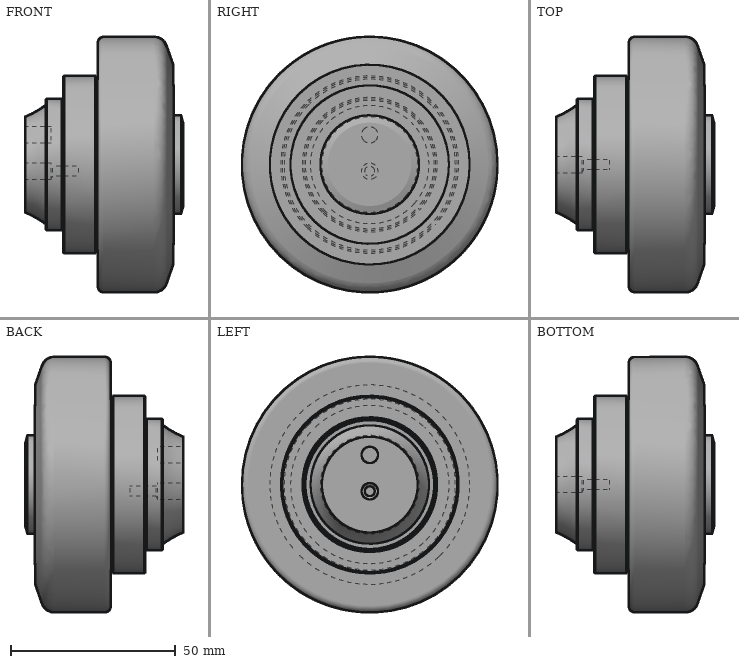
import cadquery as cq
import math

shoulder_x = 6.1
flange_x = 11.4
flange_end_x = 21.6
tyre_x = 22.0
tyre_back_x = 45.0
overall_length = 48.0

nose_tip_diameter = 29.05
nose_base_diameter = 36.0
collar_diameter = 40.0
recess_diameter = 40.95
flange_diameter = 54.0
neck_diameter = 52.0
tyre_diameter = 77.7
tyre_back_diameter = 60.7
back_disc_diameter = 48.1
boss_diameter = 30.0

nose_hollow = 0.2
edge_chamfer = 0.5
recess_depth = 0.4
tyre_front_fillet = 1.95
tyre_back_fillet = 4.05
tyre_bevel_angle = 70.8
back_disc_height = 0.15
boss_chamfer_length = 0.7
boss_chamfer_height = 2.3

hole_diameter = 5.0
pin_hole_z = 9.0
pin_hole_depth = 7.8
oil_hole_z = -2.0
oil_hole_diameter = 3.0
oil_mouth_depth = 7.8
oil_seat_half_angle = 59.0
oil_bore_length = 7.8


def cylinder(diameter, start_x, end_x):
    """Solid cylinder on the X axis."""
    return cq.Workplane("YZ", origin=(start_x, 0, 0)).circle(diameter / 2).extrude(end_x - start_x)


def make_nose():
    """Flared nose with a slightly hollow flank."""
    tip_radius = nose_tip_diameter / 2
    base_radius = nose_base_diameter / 2
    middle = (shoulder_x / 2, (tip_radius + base_radius) / 2 - nose_hollow)
    return (
        cq.Workplane("XY")
        .lineTo(0, tip_radius)
        .threePointArc(middle, (shoulder_x, base_radius))
        .lineTo(shoulder_x, 0)
        .close()
        .revolve(360, (0, 0, 0), (1, 0, 0))
    )


def make_tyre():
    """Tyre with a rounded front edge and a rounded, bevelled back edge."""
    radius = tyre_diameter / 2
    back_radius = tyre_back_diameter / 2
    bevel_length = (radius - back_radius) / math.tan(math.radians(tyre_bevel_angle))
    blank = (
        cq.Workplane("XY")
        .moveTo(tyre_x, 0)
        .lineTo(tyre_x, radius)
        .lineTo(tyre_back_x - bevel_length, radius)
        .lineTo(tyre_back_x, back_radius)
        .lineTo(tyre_back_x, 0)
        .close()
        .revolve(360, (0, 0, 0), (1, 0, 0))
    )
    rim_selector = cq.selectors.RadiusNthSelector(-1)
    rims = blank.edges("%CIRCLE").edges(rim_selector)
    front_rounded = rims.edges("<X").fillet(tyre_front_fillet)
    return front_rounded.edges("%CIRCLE").edges(rim_selector).edges(">X").fillet(tyre_back_fillet)


def make_flange():
    """Chamfered flange with a shallow recess around the collar."""
    flange = cylinder(flange_diameter, flange_x, flange_end_x).edges("%CIRCLE").chamfer(edge_chamfer)
    return flange.cut(cylinder(recess_diameter, flange_x, flange_x + recess_depth))


def make_boss():
    """Back boss with a long bevel on its end face."""
    boss = cylinder(boss_diameter, tyre_back_x, overall_length)
    return boss.faces(">X").chamfer(boss_chamfer_length, boss_chamfer_height)


def make_oil_hole():
    """Cutter for the oil hole: wide mouth, conical seat, then a narrower bore."""
    mouth_radius = hole_diameter / 2
    bore_radius = oil_hole_diameter / 2
    seat_length = (mouth_radius - bore_radius) / math.tan(math.radians(oil_seat_half_angle))
    seat_end_x = oil_mouth_depth + seat_length
    return (
        cq.Workplane("XY")
        .lineTo(0, mouth_radius)
        .lineTo(oil_mouth_depth, mouth_radius)
        .lineTo(seat_end_x, bore_radius)
        .lineTo(seat_end_x + oil_bore_length, bore_radius)
        .lineTo(seat_end_x + oil_bore_length, 0)
        .close()
        .revolve(360, (0, 0, 0), (1, 0, 0))
        .translate((0, 0, oil_hole_z))
    )


def make_collar():
    """Collar chamfered at its nose end and where it meets the flange."""
    collar = cylinder(collar_diameter, shoulder_x, flange_x).edges("%CIRCLE").chamfer(edge_chamfer)
    foot_diameter = collar_diameter - 2 * edge_chamfer
    return collar.union(cylinder(foot_diameter, shoulder_x, flange_x + recess_depth))


neck = cylinder(neck_diameter, flange_end_x, tyre_x)
back_disc = cylinder(back_disc_diameter, tyre_back_x, tyre_back_x + back_disc_height)

result = make_nose()
for section in (make_collar(), make_flange(), neck, make_tyre(), back_disc, make_boss()):
    result = result.union(section)

pin_hole = cylinder(hole_diameter, 0, pin_hole_depth).translate((0, 0, pin_hole_z))
result = result.cut(pin_hole).cut(make_oil_hole())